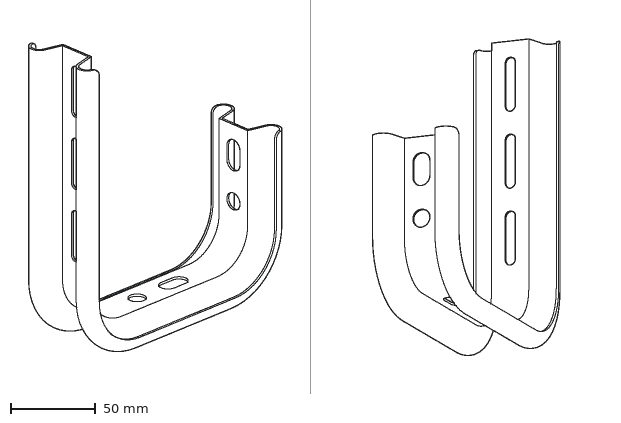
import cadquery as cq
import math

width = 55.0
span = 165.0
long_height = 195.0
short_height = 104.9
bend_radius = 25.0

thickness = 1.5
depth = 18.0
rim_radius = 6.5
lip_depth = 9.4
lean = math.radians(14.5)
lip_corner_radius = 4.0

narrow_slot_length = 33.0
narrow_slot_width = 6.5
narrow_slot_pitch = 47.0
narrow_slot_count = 3
wide_slot_length = 20.0
hole_diameter = 11.0
hole_pitch = 30.0
end_margin = 10.0

half_span = span / 2
tangent_depth = rim_radius * (1 - math.sin(lean))
lip_spread = (lip_depth - tangent_depth) * math.tan(lean)
rim_x = width / 2 - lip_spread - rim_radius * math.cos(lean)
lip_edge_width = thickness / math.cos(lean)


def skin_points(inset):
    """Half-section points (x, depth below crest) of the skin lying `inset` inside the outer skin."""
    radius = rim_radius - inset
    web_depth = depth - thickness + inset
    reach = radius * math.cos(lean)
    rise = radius * math.sin(lean)
    wall_start = (rim_x - reach, rim_radius - rise)
    web_corner = (wall_start[0] - (web_depth - wall_start[1]) * math.tan(lean), web_depth)
    crest = (rim_x, inset)
    lip_start = (rim_x + reach, rim_radius - rise)
    lip_end = (lip_start[0] + (lip_depth - lip_start[1]) * math.tan(lean), lip_depth)
    return web_corner, wall_start, crest, lip_start, lip_end


def section():
    """Closed sheet profile at the top of the long leg."""

    def place(point, side):
        return (side * point[0], point[1] - half_span)

    outer = skin_points(0)
    inner = skin_points(thickness)
    profile = cq.Workplane("XY", origin=(0, 0, long_height)).moveTo(*place(outer[0], -1))
    for side, outbound, inbound in ((1, outer, inner), (-1, inner, outer)):
        corner, wall, crest, lip, end = [place(point, side) for point in outbound]
        profile = profile.lineTo(*corner).lineTo(*wall).threePointArc(crest, lip).lineTo(*end)
        corner, wall, crest, lip, end = [place(point, side) for point in inbound]
        profile = profile.lineTo(*end).lineTo(*lip).threePointArc(crest, wall).lineTo(*corner)
    return profile.close()


def spine():
    """Path of the web's inside face along both legs and the base."""
    face_y = half_span - depth
    bend_y = face_y - bend_radius
    bend_z = depth + bend_radius
    return (
        cq.Workplane("YZ")
        .moveTo(-face_y, long_height)
        .lineTo(-face_y, bend_z)
        .tangentArcPoint((-bend_y, depth), relative=False)
        .lineTo(bend_y, depth)
        .tangentArcPoint((face_y, bend_z), relative=False)
        .lineTo(face_y, short_height)
    )


def round_lip_corners(bracket):
    """Round the free corner of each lip at both leg ends."""
    tolerance = 0.02
    lip_inner_x = width / 2 - lip_edge_width

    def is_lip_corner(edge):
        center = edge.Center()
        at_leg_end = any(abs(center.z - top) < tolerance for top in (long_height, short_height))
        across_sheet = abs(edge.Length() - lip_edge_width) < tolerance
        return at_leg_end and across_sheet and abs(center.x) > lip_inner_x

    corners = [edge for edge in bracket.edges().vals() if is_lip_corner(edge)]
    return bracket.newObject(corners).fillet(lip_corner_radius)


def leg_plane(y):
    """Workplane on a leg's web, with its local x axis pointing up from Z = 0."""
    return cq.Workplane(cq.Plane(origin=(0, y, 0), xDir=(0, 0, 1), normal=(0, 1, 0)))


def through_web(sketch):
    """Cutter long enough to pass through the web alone."""
    return sketch.extrude(depth, both=True)


def slot_and_hole(plane, slot_position, hole_position):
    """Wide slot and its round hole, placed along the plane's local x axis."""
    slot = through_web(plane.center(slot_position, 0).slot2D(wide_slot_length, hole_diameter))
    hole = through_web(plane.center(hole_position, 0).circle(hole_diameter / 2))
    return slot.union(hole)


def long_leg_slots():
    """Row of narrow slots down the long leg."""
    first_slot = long_height - end_margin - narrow_slot_length / 2
    centers = [(first_slot - i * narrow_slot_pitch, 0) for i in range(narrow_slot_count)]
    slots = leg_plane(depth - half_span).pushPoints(centers)
    return through_web(slots.slot2D(narrow_slot_length, narrow_slot_width))


def short_leg_openings():
    """Wide slot near the top of the short leg with the round hole below it."""
    slot_z = short_height - end_margin - wide_slot_length / 2
    return slot_and_hole(leg_plane(half_span - depth), slot_z, slot_z - hole_pitch)


def base_openings():
    """Wide slot toward the short leg and round hole toward the long leg."""
    base_plane = cq.Workplane(cq.Plane(origin=(0, 0, depth), xDir=(0, 1, 0), normal=(0, 0, 1)))
    return slot_and_hole(base_plane, hole_pitch / 2, -hole_pitch / 2)


bracket = round_lip_corners(section().sweep(spine()))
for openings in (long_leg_slots(), short_leg_openings(), base_openings()):
    bracket = bracket.cut(openings)

result = bracket